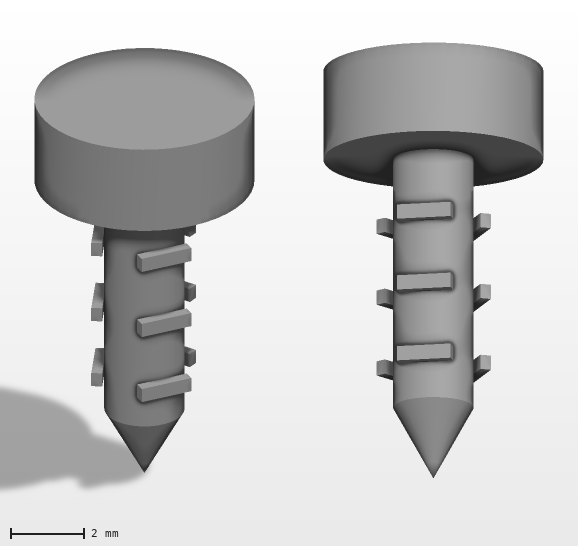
import cadquery as cq

total_length = 11.5
head_diameter = 6.0
head_height = 2.5
shank_diameter = 2.2
point_length = 2.0

barb_length = 1.5
barb_thickness = 0.3
barb_height = 0.4
barbs_per_ring = 3
ring_count = 3
ring_pitch = 2.0
first_ring_bottom = 3.0
first_barb_angle = 90.0

head_radius = head_diameter / 2
shank_radius = shank_diameter / 2
head_bottom = total_length - head_height


def make_screw():
    """Revolve the half profile of head, shank and point about Z."""
    return (
        cq.Workplane("XZ")
        .moveTo(0, 0)
        .lineTo(shank_radius, point_length)
        .lineTo(shank_radius, head_bottom)
        .lineTo(head_radius, head_bottom)
        .lineTo(head_radius, total_length)
        .lineTo(0, total_length)
        .close()
        .revolve(360, (0, 0, 0), (0, 1, 0))
    )


def make_barb(angle, bottom):
    """Bar whose inner face touches the shank along a line at the given angle."""
    return (
        cq.Workplane("XY")
        .box(barb_thickness, barb_length, barb_height, centered=(False, True, False))
        .translate((shank_radius, 0, bottom))
        .rotate((0, 0, 0), (0, 0, 1), angle)
    )


screw = make_screw()

barbs = []
for ring in range(ring_count):
    ring_bottom = first_ring_bottom + ring * ring_pitch
    for position in range(barbs_per_ring):
        barb_angle = first_barb_angle + position * 360 / barbs_per_ring
        barbs.append(make_barb(barb_angle, ring_bottom).val())

result = cq.Compound.makeCompound([screw.val(), *barbs])